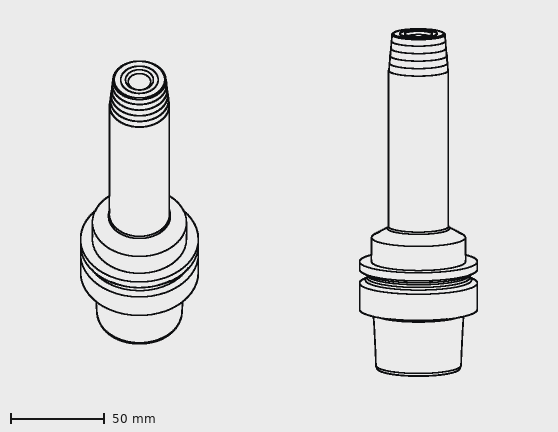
import cadquery as cq

total_height = 181.9
taper_height = 32.0
flange_top = 58.0
shoulder_edge = 71.5
shoulder_top = 76.0
nose_height = 20.0

taper_slope = 0.05
taper_large_radius = 24.2
taper_shoulder = 29.8
neck_radius = 23.5
neck_chamfer = taper_large_radius - neck_radius
taper_edge_height = 1.6
taper_edge_inset = 0.5

flange_radius = 31.5
groove_center = 50.0
groove_half_opening = 3.6
groove_half_throat = 2.0
groove_half_floor = 0.7
groove_radius = 27.5
groove_throat_radius = 28.4

collar_radius = 25.1
collar_edge_chamfer = 0.4
shoulder_top_radius = 16.5
shank_radius = 16.0
shank_blend_height = 1.1

nose_tip_radius = 14.2
nose_ring_count = 5
nose_ring_step = 0.2
nose_edge_inset = 0.7
nose_edge_height = 0.5

bore_radius = 6.0
bore_depth = 45.0
bore_mouth_radius = 7.5
recess_radius = 10.0
recess_depth = 0.2


def revolve_profile(points):
    """Revolve a closed outline of (radius, height) points about Z."""
    return cq.Workplane("XZ").polyline(points).close().revolve(360, (0, 0, 0), (0, 1, 0))


def taper_radius(height):
    return taper_large_radius - taper_slope * (taper_shoulder - height)


def taper_points():
    return [
        (0, 0),
        (taper_radius(0) - taper_edge_inset, 0),
        (taper_radius(taper_edge_height), taper_edge_height),
        (taper_large_radius, taper_shoulder),
        (neck_radius, taper_shoulder + neck_chamfer),
        (neck_radius, taper_height),
    ]


def flange_points():
    return [
        (flange_radius, taper_height),
        (flange_radius, groove_center - groove_half_opening),
        (groove_throat_radius, groove_center - groove_half_throat),
        (groove_radius, groove_center - groove_half_floor),
        (groove_radius, groove_center + groove_half_floor),
        (groove_throat_radius, groove_center + groove_half_throat),
        (flange_radius, groove_center + groove_half_opening),
        (flange_radius, flange_top),
    ]


def shank_points():
    return [
        (collar_radius, flange_top),
        (collar_radius, shoulder_edge - collar_edge_chamfer),
        (collar_radius - collar_edge_chamfer, shoulder_edge),
        (shoulder_top_radius, shoulder_top),
        (shank_radius, shoulder_top + shank_blend_height),
        (shank_radius, total_height - nose_height),
    ]


def nose_points():
    """Rings from the shank up to the tip, each stepped in from the one below."""
    ring_height = nose_height / nose_ring_count
    ring_inset = (shank_radius - nose_tip_radius) / nose_ring_count
    points = []
    for ring in range(nose_ring_count):
        base = total_height - nose_height + ring * ring_height
        base_radius = shank_radius - ring * ring_inset - nose_ring_step
        top_radius = shank_radius - (ring + 1) * ring_inset
        is_tip = ring == nose_ring_count - 1
        top = total_height - nose_edge_height if is_tip else base + ring_height
        points += [(base_radius, base), (top_radius, top)]
    points += [(nose_tip_radius - nose_edge_inset, total_height), (0, total_height)]
    return points


def tool_bore():
    recess_floor = total_height - recess_depth
    mouth_chamfer = bore_mouth_radius - bore_radius
    bore_floor = total_height - bore_depth
    return revolve_profile([
        (0, bore_floor),
        (bore_radius, bore_floor),
        (bore_radius, recess_floor - mouth_chamfer),
        (bore_mouth_radius, recess_floor),
        (recess_radius, recess_floor),
        (recess_radius, total_height),
        (0, total_height),
    ])


body = revolve_profile(taper_points() + flange_points() + shank_points() + nose_points())
result = body.cut(tool_bore())